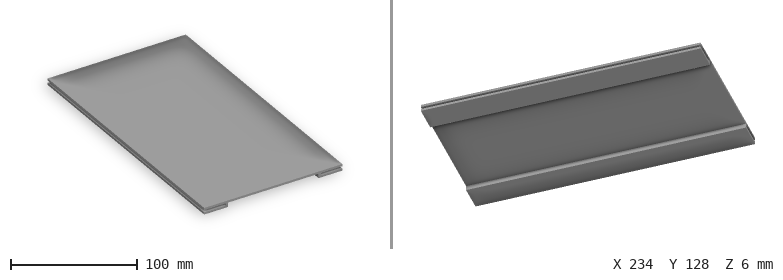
import cadquery as cq

length = 234.0
width = 128.0
height = 6.0

wall = 2.0
slot_depth = 20.0

half_width = width / 2
web_outer_y = half_width - slot_depth
web_inner_y = web_outer_y - wall
plate_bottom_z = height - wall


def top_plate():
    """Flat plate covering the whole part."""
    return (
        cq.Workplane("XY")
        .box(length, width, wall, centered=(True, True, False))
        .translate((0, 0, plate_bottom_z))
    )


def side_rail(side):
    """L-shaped rail under one long edge: a web with a flange pointing outward (side is +1 or -1)."""
    outline = [
        (side * web_inner_y, plate_bottom_z),
        (side * web_inner_y, 0),
        (side * half_width, 0),
        (side * half_width, wall),
        (side * web_outer_y, wall),
        (side * web_outer_y, plate_bottom_z),
    ]
    return cq.Workplane("YZ").polyline(outline).close().extrude(length / 2, both=True)


result = top_plate()
for side in (-1, 1):
    result = result.union(side_rail(side))